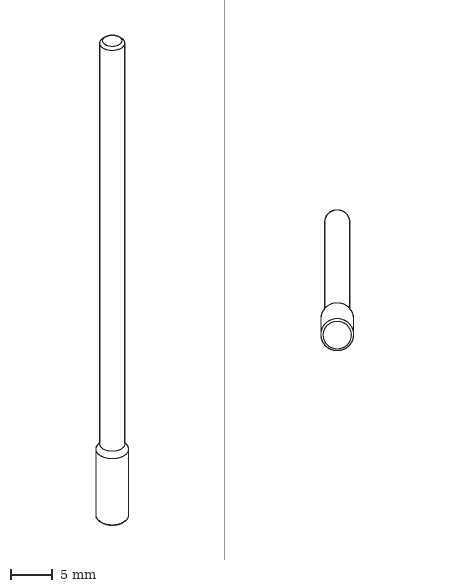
import cadquery as cq

total_length = 70.0
shank_diameter = 3.0
head_diameter = 3.9
head_length = 10.8
shoulder_height = 0.8
tip_chamfer = 0.3
shank_end_chamfer_width = 0.35
shank_end_chamfer_height = 0.35

shank_radius = shank_diameter / 2
head_radius = head_diameter / 2
shank_end_radius = shank_radius - shank_end_chamfer_width


def turned_body(half_profile):
    """Revolve a closed (radius, height) outline about the Z axis."""
    return cq.Workplane("XZ").polyline(half_profile).close().revolve(360, (0, 0), (0, 1))


def make_head():
    """Cylindrical head, chamfered below and tapering to the shank diameter above."""
    return turned_body([
        (0, 0),
        (head_radius - tip_chamfer, 0),
        (head_radius, tip_chamfer),
        (head_radius, head_length - shoulder_height),
        (shank_radius, head_length),
        (0, head_length),
    ])


def make_shank():
    """Round shank standing on the head, with a chamfered free end."""
    return turned_body([
        (0, head_length),
        (shank_radius, head_length),
        (shank_radius, total_length - shank_end_chamfer_height),
        (shank_end_radius, total_length),
        (0, total_length),
    ])


head = make_head()
shank = make_shank()

result = cq.Compound.makeCompound([head.val(), shank.val()])